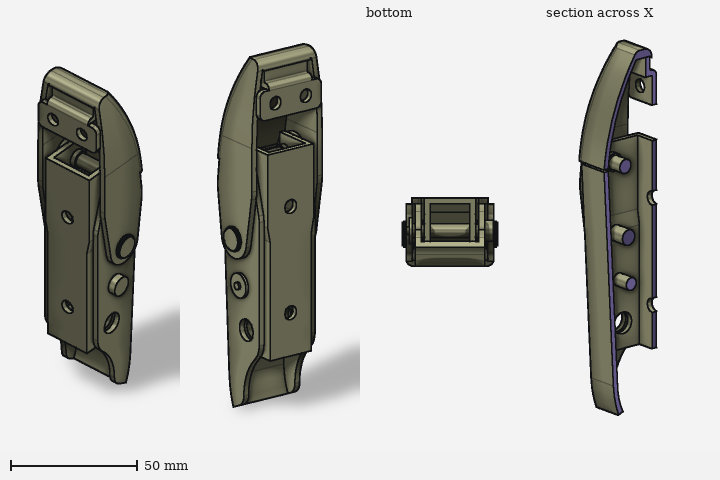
import cadquery as cq
import math


LENGTH = 150.0
DEPTH = 27.2
SHEET = 2.4
FRONT_Y = 2.4

HANDLE_INNER = 11.4
HANDLE_OUTER = HANDLE_INNER + SHEET
WEB_TOP_Z = 102.9
WEB_SLOPE = 0.053
TAIL_START_Z = 12.9
TAIL_TIP_Y = 19.6
TAIL_END_SLOPE = 0.45
TAIL_BULGE = 0.52
TAIL_FRONT_Y = 12.6
TAIL_FRONT_Z = 6.9
TAIL_NOSE_R = 5.2
SCOOP_Y = 5.2
SCOOP_Z = 24.0
SCOOP_TOP_Z = 30.8
HANDLE_CORNER_Z = 83.8
HANDLE_CORNER_R = 10.0
LOBE_R = 8.1
LOCK_HOLE_Y = 11.0
LOCK_HOLE_Z = 34.8
LOCK_HOLE_R = 4.5

BOW_OUTER = 17.4
BOW_INNER = BOW_OUTER - SHEET
BOW_SIDE_R = 180.0
BOW_CURVE_Z = 114.3
BOW_WEB_Z = 103.8
BOW_BACK_R = 100.0
BOW_TOP_Y = 10.4
BOW_TOP_WALL = 3.8
BOW_EDGE_R = 3.0
BOW_BACK_MID_Y = 21.8
BOW_BACK_MID_Z = 129.0
EAR_R = 8.2
EAR_FRONT_Z = 94.4
EAR_BACK_Y = 25.4
EAR_BACK_Z = 93.0
EAR_CORNER_R = 21.0

BASE_BOTTOM_Z = 24.2
BASE_TOP_Z = 111.0
BASE_DEPTH = 19.5
BASE_WIDE = HANDLE_INNER
BASE_NARROW = 10.2
TAPER_TOP_Z = 80.4
TAPER_BOTTOM_Z = 74.1
BASE_HOLE_R = 2.8
BASE_HOLES_Z = (42.3, 87.0)
BOSS_R = 5.5
BOSS_HEIGHT = 0.6

KEEPER_HALF_WIDTH = 15.2
KEEPER_BOTTOM_Z = 125.7
KEEPER_TOP_Z = 138.0
KEEPER_CORNER_R = 2.5
KEEPER_HOLE_X = 7.5
KEEPER_HOLE_Z = 132.0
KEEPER_HOLE_R = 2.7
TAB_HALF_WIDTH = 10.6
TAB_FRONT_Y = 3.3
TAB_BEND_R = 0.8

HINGE_Y = 16.0
HINGE_Z = 103.0
HINGE_R = 3.0
HINGE_SHOULDER_R = 3.8
HINGE_SHOULDER_X = 6.8
HINGE_HEAD_R = 4.0
HINGE_HEAD_THICKNESS = 0.6

BOW_PIN_Y = 14.4
BOW_PIN_Z = 73.0
BOW_PIN_R = 3.3
BOW_PIN_LENGTH = 38.0
BOW_PIN_HALF_LENGTH = BOW_PIN_LENGTH / 2
KNURL_END_X = 18.3
KNURL_TEETH = 32
KNURL_ROOT_R = 4.6
KNURL_TIP_R = 5.1
BOW_PIN_HEAD_R = 4.6

STOP_Y = 13.0
STOP_Z = 53.4
STOP_R = 2.7
STOP_HEAD_R = 4.2
STOP_HALF_LENGTH = 17.1
RING_R = 5.1
RING_INNER_X = 15.0
RING_OUTER_X = 16.2
STOP_TIP_R = 1.5

CROSS_HOLES = (
    (HINGE_Y, HINGE_Z, HINGE_SHOULDER_R),
    (BOW_PIN_Y, BOW_PIN_Z, BOW_PIN_R),
    (STOP_Y, STOP_Z, STOP_R),
    (LOCK_HOLE_Y, LOCK_HOLE_Z, LOCK_HOLE_R),
)


def tangent_point(corner, center, radius, side):
    """Point where a line from corner touches a circle; side +1 or -1 picks which of the two."""
    dy = corner[0] - center[0]
    dz = corner[1] - center[1]
    angle = math.atan2(dz, dy) + side * math.acos(radius / math.hypot(dy, dz))
    return (center[0] + radius * math.cos(angle), center[1] + radius * math.sin(angle))


def side_profile(x_start):
    """Workplane whose local axes are Y and Z and which extrudes along +X."""
    return cq.Workplane("YZ", origin=(x_start, 0, 0))


def rod(y, z, radius, x_start, x_end):
    return side_profile(x_start).center(y, z).circle(radius).extrude(x_end - x_start)


def cut_cross_holes(body, half_width):
    for y, z, radius in CROSS_HOLES:
        body = body.cut(rod(y, z, radius, -half_width, half_width))
    return body


def web_back_y(z):
    return DEPTH - WEB_SLOPE * (WEB_TOP_Z - z)


def handle_plate(x_start):
    lobe_center = (HINGE_Y, HINGE_Z)
    corner = (FRONT_Y, HANDLE_CORNER_Z)
    lobe_touch = tangent_point(corner, lobe_center, LOBE_R, -1)
    nose_z = TAIL_END_SLOPE * (TAIL_TIP_Y - TAIL_FRONT_Y)
    plate = (
        side_profile(x_start)
        .moveTo(web_back_y(WEB_TOP_Z), WEB_TOP_Z)
        .lineTo(web_back_y(TAIL_START_Z), TAIL_START_Z)
        .tangentArcPoint((TAIL_TIP_Y, 0), relative=False)
        .lineTo(TAIL_FRONT_Y, nose_z)
        .lineTo(TAIL_FRONT_Y, TAIL_FRONT_Z)
        .tangentArcPoint((SCOOP_Y, SCOOP_Z), relative=False)
        .tangentArcPoint((FRONT_Y, SCOOP_TOP_Z), relative=False)
        .lineTo(*corner)
        .lineTo(*lobe_touch)
        .threePointArc((HINGE_Y, HINGE_Z + LOBE_R), (HINGE_Y + LOBE_R, HINGE_Z))
        .lineTo(HINGE_Y + LOBE_R, WEB_TOP_Z)
        .close()
        .extrude(SHEET)
    )
    nose = cq.selectors.NearestToPointSelector((x_start + SHEET / 2, TAIL_FRONT_Y, nose_z))
    bend = cq.selectors.NearestToPointSelector((x_start + SHEET / 2, *corner))
    return plate.edges(nose).fillet(TAIL_NOSE_R).edges(bend).fillet(HANDLE_CORNER_R)


def handle_web():
    tip_front = (TAIL_TIP_Y - SHEET, SHEET * TAIL_END_SLOPE)
    tail_front = (web_back_y(TAIL_START_Z) - SHEET, TAIL_START_Z)
    tail_middle = ((tip_front[0] + tail_front[0]) / 2 + TAIL_BULGE, TAIL_START_Z / 2)
    return (
        side_profile(-HANDLE_INNER)
        .moveTo(web_back_y(WEB_TOP_Z), WEB_TOP_Z)
        .lineTo(web_back_y(TAIL_START_Z), TAIL_START_Z)
        .tangentArcPoint((TAIL_TIP_Y, 0), relative=False)
        .lineTo(*tip_front)
        .threePointArc(tail_middle, tail_front)
        .lineTo(web_back_y(WEB_TOP_Z) - SHEET, WEB_TOP_Z)
        .close()
        .extrude(2 * HANDLE_INNER)
    )


def make_handle():
    body = handle_web().union(handle_plate(-HANDLE_OUTER)).union(handle_plate(HANDLE_INNER))
    return cut_cross_holes(body, HANDLE_OUTER)


def bow_block(half_width, top_z, inset):
    """Solid hood; the sides lean in along arcs and the back follows one large arc."""
    back_r = BOW_BACK_R - inset
    profile = (
        side_profile(-half_width)
        .moveTo(FRONT_Y, BOW_WEB_Z)
        .lineTo(DEPTH - inset, BOW_WEB_Z)
        .radiusArc((BOW_TOP_Y - inset, LENGTH), -back_r)
        .lineTo(FRONT_Y, LENGTH)
        .close()
        .extrude(2 * half_width)
    )
    side_r = BOW_SIDE_R - BOW_OUTER + half_width
    drop = side_r - math.sqrt(side_r**2 - (LENGTH - BOW_CURVE_Z) ** 2)
    outline = (
        cq.Workplane("XZ")
        .moveTo(-half_width, BOW_WEB_Z)
        .lineTo(half_width, BOW_WEB_Z)
        .lineTo(half_width, BOW_CURVE_Z)
        .tangentArcPoint((half_width - drop, LENGTH), relative=False)
        .lineTo(drop - half_width, LENGTH)
        .radiusArc((-half_width, BOW_CURVE_Z), -side_r)
        .close()
        .extrude(-DEPTH)
    )
    below_top = cq.Workplane("XY").box(
        4 * BOW_OUTER, 4 * DEPTH, top_z, centered=(True, True, False)
    )
    return profile.intersect(outline).intersect(below_top)


def bow_ear(x_start):
    center = (BOW_PIN_Y, BOW_PIN_Z)
    front_corner = (FRONT_Y, EAR_FRONT_Z)
    back_corner = (EAR_BACK_Y, EAR_BACK_Z)
    ear = (
        side_profile(x_start)
        .moveTo(FRONT_Y, BOW_WEB_Z)
        .lineTo(*front_corner)
        .lineTo(*tangent_point(front_corner, center, EAR_R, 1))
        .threePointArc(
            (BOW_PIN_Y, BOW_PIN_Z - EAR_R), tangent_point(back_corner, center, EAR_R, -1)
        )
        .lineTo(*back_corner)
        .lineTo(DEPTH - BOW_EDGE_R, BOW_WEB_Z)
        .close()
        .extrude(SHEET)
    )
    for corner in (front_corner, back_corner):
        edge = cq.selectors.NearestToPointSelector((x_start + SHEET / 2, *corner))
        ear = ear.edges(edge).fillet(EAR_CORNER_R)
    return ear.cut(rod(BOW_PIN_Y, BOW_PIN_Z, BOW_PIN_R, x_start, x_start + SHEET))


def make_bow():
    hood = bow_block(BOW_OUTER, LENGTH, 0)
    hood = hood.faces(">Z").edges("<Y").fillet(BOW_TOP_WALL)
    back_face = cq.selectors.NearestToPointSelector((0, BOW_BACK_MID_Y, BOW_BACK_MID_Z))
    hood = hood.faces(back_face).edges("not <Z").fillet(BOW_EDGE_R)
    cavity = bow_block(BOW_INNER, LENGTH - BOW_TOP_WALL, SHEET)
    cavity = cavity.faces(">Z").edges().fillet(BOW_EDGE_R - SHEET)
    hood = hood.cut(cavity)
    return hood.union(bow_ear(-BOW_OUTER)).union(bow_ear(BOW_INNER))


def base_block(inset, y_start, y_end):
    wide = BASE_WIDE - inset
    narrow = BASE_NARROW - inset
    right = [
        (narrow, BASE_BOTTOM_Z),
        (narrow, TAPER_BOTTOM_Z),
        (wide, TAPER_TOP_Z),
        (wide, BASE_TOP_Z),
    ]
    left = [(-x, z) for x, z in reversed(right)]
    return (
        cq.Workplane("XZ", origin=(0, y_start, 0))
        .polyline(right + left)
        .close()
        .extrude(y_start - y_end)
    )


def make_base():
    body = base_block(0, 0, BASE_DEPTH)
    for x_start in (-BASE_NARROW - BOSS_HEIGHT, BASE_NARROW):
        body = body.union(rod(BOW_PIN_Y, BOW_PIN_Z, BOSS_R, x_start, x_start + BOSS_HEIGHT))
    body = body.cut(base_block(SHEET, SHEET, BASE_DEPTH + BOSS_R))
    body = cut_cross_holes(body, BASE_WIDE)
    screw_holes = (
        cq.Workplane("XZ")
        .pushPoints([(0, z) for z in BASE_HOLES_Z])
        .circle(BASE_HOLE_R)
        .extrude(-SHEET)
    )
    return body.cut(screw_holes)


def make_keeper():
    height = KEEPER_TOP_Z - KEEPER_BOTTOM_Z
    plate = (
        cq.Workplane("XZ")
        .center(0, KEEPER_BOTTOM_Z + height / 2)
        .rect(2 * KEEPER_HALF_WIDTH, height)
        .extrude(-FRONT_Y)
        .edges("|Y")
        .fillet(KEEPER_CORNER_R)
    )
    tab_back_y = TAB_FRONT_Y + FRONT_Y
    step_z = KEEPER_TOP_Z + FRONT_Y
    tab_top_z = LENGTH - BOW_TOP_WALL
    tab = (
        side_profile(-TAB_HALF_WIDTH)
        .moveTo(0, KEEPER_TOP_Z)
        .radiusArc((FRONT_Y, step_z), FRONT_Y)
        .lineTo(TAB_FRONT_Y - TAB_BEND_R, step_z)
        .tangentArcPoint((TAB_FRONT_Y, step_z + TAB_BEND_R), relative=False)
        .lineTo(TAB_FRONT_Y, tab_top_z)
        .lineTo(tab_back_y, tab_top_z)
        .lineTo(tab_back_y, KEEPER_TOP_Z)
        .close()
        .extrude(2 * TAB_HALF_WIDTH)
    )
    screw_holes = (
        cq.Workplane("XZ")
        .pushPoints([(-KEEPER_HOLE_X, KEEPER_HOLE_Z), (KEEPER_HOLE_X, KEEPER_HOLE_Z)])
        .circle(KEEPER_HOLE_R)
        .extrude(-FRONT_Y)
    )
    return plate.union(tab).cut(screw_holes)


def make_hinge_pin():
    pin = rod(HINGE_Y, HINGE_Z, HINGE_R, -HINGE_SHOULDER_X, HINGE_SHOULDER_X)
    shoulder = rod(HINGE_Y, HINGE_Z, HINGE_SHOULDER_R, HINGE_SHOULDER_X, HANDLE_OUTER)
    head_end = HANDLE_OUTER + HINGE_HEAD_THICKNESS
    end = shoulder.union(rod(HINGE_Y, HINGE_Z, HINGE_HEAD_R, HANDLE_OUTER, head_end))
    return pin.union(end).union(end.mirror("YZ"))


def make_bow_pin():
    outline = []
    for step in range(2 * KNURL_TEETH):
        radius = KNURL_TIP_R if step % 2 == 0 else KNURL_ROOT_R
        angle = math.pi * step / KNURL_TEETH
        outline.append((radius * math.cos(angle), radius * math.sin(angle)))
    knurl = (
        side_profile(BOW_OUTER)
        .center(BOW_PIN_Y, BOW_PIN_Z)
        .polyline(outline)
        .close()
        .extrude(KNURL_END_X - BOW_OUTER)
    )
    head = knurl.union(
        rod(BOW_PIN_Y, BOW_PIN_Z, BOW_PIN_HEAD_R, KNURL_END_X, BOW_PIN_HALF_LENGTH)
    )
    shank = rod(BOW_PIN_Y, BOW_PIN_Z, BOW_PIN_R, -BOW_OUTER, BOW_OUTER)
    return shank.union(head).union(head.mirror("YZ"))


def make_stop_pin():
    shank = rod(STOP_Y, STOP_Z, STOP_R, -RING_INNER_X, HANDLE_OUTER)
    head = rod(STOP_Y, STOP_Z, STOP_HEAD_R, HANDLE_OUTER, STOP_HALF_LENGTH)
    ring = rod(STOP_Y, STOP_Z, RING_R, -RING_OUTER_X, -RING_INNER_X)
    tip = rod(STOP_Y, STOP_Z, STOP_TIP_R, -STOP_HALF_LENGTH, -RING_OUTER_X)
    return shank.union(head).union(ring).union(tip)


handle = make_handle()
bow = make_bow()
base = make_base()
keeper = make_keeper()
hinge_pin = make_hinge_pin()
bow_pin = make_bow_pin()
stop_pin = make_stop_pin()

result = cq.Compound.makeCompound(
    [
        handle.val(),
        bow.val(),
        base.val(),
        keeper.val(),
        hinge_pin.val(),
        bow_pin.val(),
        stop_pin.val(),
    ]
)